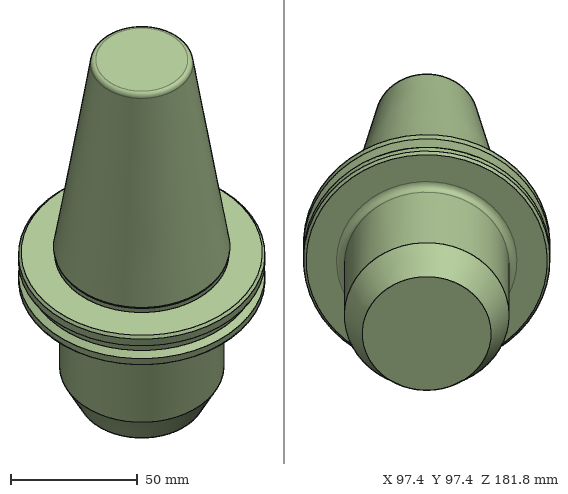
import cadquery as cq
import math

total_length = 181.8
gauge_z = 80.0

nose_radius = 25.5
nose_height = 15.3
body_radius = 32.5
body_fillet = 3.0

flange_radius = 48.7
flange_bottom = 60.9
flange_top = 76.9
flange_chamfer = 1.0
groove_floor_radius = 45.8
groove_floor_height = 3.6
groove_center_z = 68.7
groove_wall_angle = 30.0

gauge_radius = 34.9
taper_ratio = 7 / 24
tip_fillet = 2.2
relief_radius = 34.5
relief_chamfer_height = 0.9

groove_depth = flange_radius - groove_floor_radius
groove_wall_rise = groove_depth * math.tan(math.radians(groove_wall_angle))
groove_floor_half = groove_floor_height / 2
groove_mouth_half = groove_floor_half + groove_wall_rise
tip_radius = gauge_radius - (total_length - gauge_z) * taper_ratio / 2


def revolve_profile(points):
    """Revolve a closed (radius, height) outline about the Z axis."""
    outline = cq.Workplane("XZ").polyline(points).close()
    return outline.revolve(360, (0, 0, 0), (0, 1, 0))


def make_shank():
    """Nose, body, flange and taper as one turned solid with sharp blends."""
    return revolve_profile([
        (0, 0),
        (nose_radius, 0),
        (body_radius, nose_height),
        (body_radius, flange_bottom),
        (flange_radius - flange_chamfer, flange_bottom),
        (flange_radius, flange_bottom + flange_chamfer),
        (flange_radius, flange_top - flange_chamfer),
        (flange_radius - flange_chamfer, flange_top),
        (relief_radius, flange_top),
        (relief_radius, gauge_z - relief_chamfer_height),
        (gauge_radius, gauge_z),
        (tip_radius, total_length),
        (0, total_length),
    ])


def make_groove():
    """Ring to be cut from the flange rim."""
    return revolve_profile([
        (flange_radius, groove_center_z - groove_mouth_half),
        (groove_floor_radius, groove_center_z - groove_floor_half),
        (groove_floor_radius, groove_center_z + groove_floor_half),
        (flange_radius, groove_center_z + groove_mouth_half),
    ])


def edge_at(radius, height):
    """Select the circular edge with the given radius and height."""
    box_margin = 0.2
    reach = radius + box_margin
    return cq.selectors.BoxSelector(
        (-reach, -reach, height - box_margin),
        (reach, reach, height + box_margin),
        boundingbox=True,
    )


shank = make_shank().cut(make_groove())
shank = shank.edges(edge_at(body_radius, flange_bottom)).fillet(body_fillet)
result = shank.faces(">Z").edges().fillet(tip_fillet)